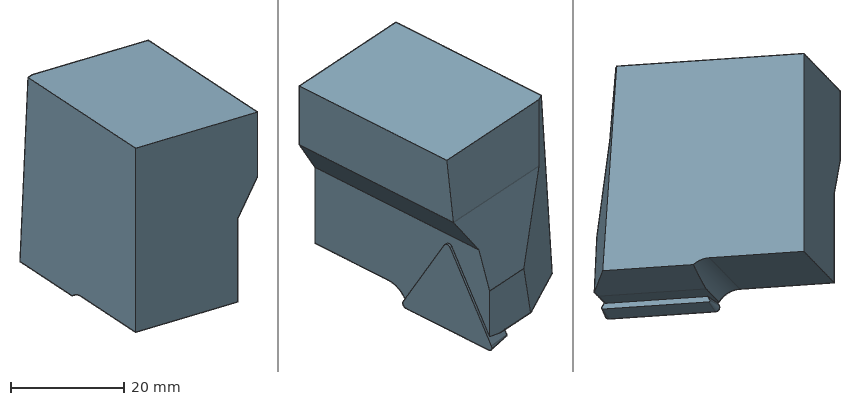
import cadquery as cq
import math

LENGTH = 42.0
WIDTH = 26.0
HEIGHT = 40.0

INSERT_IN_RADIUS = 6.4
INSERT_NOSE_RADIUS = 0.8
INSERT_THICKNESS = 4.75
INSERT_RELIEF_ANGLE = 7.0
INSERT_FACE_Y = 22.3

NOSE_X = 0.95
NOSE_TOP_Z = 12.45
SHOULDER_X = 5.8
SHOULDER_Z = 27.25
TOP_X = 7.35
SEAT_BOTTOM_Z = 1.6
NOSE_CORNER_RADIUS = 0.4
BASE_Z = 3.7
BASE_START_X = 24.8
RELIEF_RADIUS = 4.58

CORNER_BOTTOM_X = 5.12
CORNER_TOP_X = 7.85
CORNER_SLOPE = 0.397

UNDERSIDE_FRONT_Z = 2.65
UNDERSIDE_END_Y = 12.6

BACK_RELIEF_Y = 21.8
BACK_RELIEF_TOP_Z = 20.15


def make_insert():
    corner_distance = INSERT_IN_RADIUS - INSERT_NOSE_RADIUS
    half_side = corner_distance * math.sqrt(3)
    center_x = half_side + INSERT_NOSE_RADIUS
    low_z = INSERT_NOSE_RADIUS
    high_z = low_z + 3 * corner_distance
    corners = [
        (center_x - half_side, low_z),
        (center_x + half_side, low_z),
        (center_x, high_z),
    ]
    return (
        cq.Workplane("XZ", origin=(0, INSERT_FACE_Y, 0))
        .polyline(corners)
        .close()
        .offset2D(INSERT_NOSE_RADIUS)
        .extrude(INSERT_THICKNESS, taper=INSERT_RELIEF_ANGLE)
    )


def make_blank():
    arc_center_z = BASE_Z - RELIEF_RADIUS
    sweep = math.acos((SEAT_BOTTOM_Z - arc_center_z) / RELIEF_RADIUS)

    def arc_point(angle):
        return (
            BASE_START_X - RELIEF_RADIUS * math.sin(angle),
            arc_center_z + RELIEF_RADIUS * math.cos(angle),
        )

    return (
        cq.Workplane("XZ")
        .moveTo(NOSE_X, SEAT_BOTTOM_Z + NOSE_CORNER_RADIUS)
        .lineTo(NOSE_X, NOSE_TOP_Z)
        .lineTo(SHOULDER_X, SHOULDER_Z)
        .lineTo(TOP_X, HEIGHT)
        .lineTo(LENGTH, HEIGHT)
        .lineTo(LENGTH, BASE_Z)
        .lineTo(BASE_START_X, BASE_Z)
        .threePointArc(arc_point(sweep / 2), arc_point(sweep))
        .lineTo(NOSE_X + NOSE_CORNER_RADIUS, SEAT_BOTTOM_Z)
        .radiusArc((NOSE_X, SEAT_BOTTOM_Z + NOSE_CORNER_RADIUS), NOSE_CORNER_RADIUS)
        .close()
        .extrude(-WIDTH)
    )


def make_corner_cut():
    def triangle(edge_x):
        return [(0, 0), (edge_x, 0), (0, edge_x / CORNER_SLOPE)]

    return (
        cq.Workplane("XY")
        .polyline(triangle(CORNER_BOTTOM_X))
        .close()
        .workplane(offset=HEIGHT)
        .polyline(triangle(CORNER_TOP_X))
        .close()
        .loft(ruled=True)
    )


def extrude_along_length(yz_points):
    return cq.Workplane("YZ").polyline(yz_points).close().extrude(LENGTH)


def make_underside_cut():
    return extrude_along_length(
        [(0, 0), (0, UNDERSIDE_FRONT_Z), (UNDERSIDE_END_Y, SEAT_BOTTOM_Z), (UNDERSIDE_END_Y, 0)]
    )


def make_back_relief():
    return extrude_along_length(
        [(WIDTH, 0), (WIDTH, SHOULDER_Z), (BACK_RELIEF_Y, BACK_RELIEF_TOP_Z), (BACK_RELIEF_Y, 0)]
    )


insert = make_insert()
holder = (
    make_blank()
    .cut(make_corner_cut())
    .cut(make_underside_cut())
    .cut(make_back_relief())
    .cut(insert)
)

result = cq.Compound.makeCompound([holder.val(), insert.val()])